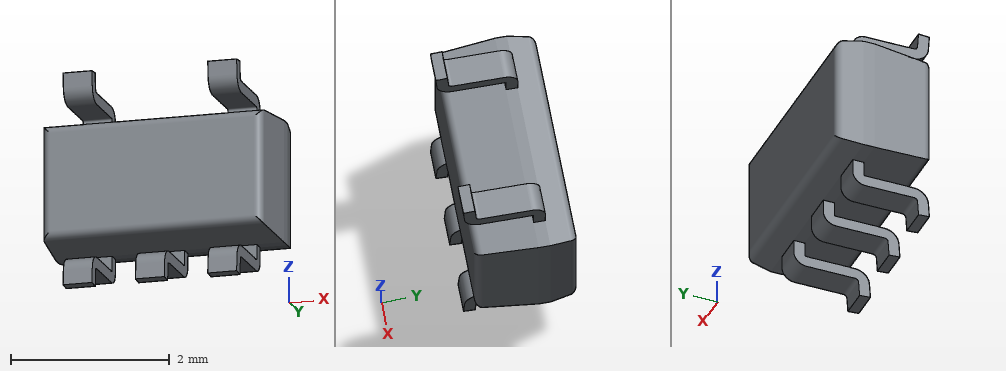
import cadquery as cq
import math

HOUSING_LENGTH = 3.0
HOUSING_WIDTH = 1.6
HOUSING_FRONT_Y = 0.1
HOUSING_BACK_Y = 1.4
FRONT_INSET = 0.06
BACK_INSET = 0.05
HOUSING_FILLET = 0.102

LEAD_THICKNESS = 0.15
LEAD_WIDTH = 0.38
LEAD_PITCH = 0.95
LEAD_SPAN = 2.8
LEAD_FRONT_Y = 0.9
LEAD_RUN_Z = 1.077
SHOULDER_INNER_RADIUS = 0.025
FOOT_INNER_RADIUS = 0.05
FOOT_TILT = math.radians(4)

BAND_FRONT_Y = LEAD_FRONT_Y
BAND_BACK_Y = BAND_FRONT_Y + LEAD_THICKNESS


def drafted_block(start_y, end_y, inset):
    """Block from the full band outline at start_y to the inset outline at end_y, its end edges rounded."""
    depth = start_y - end_y
    draft_angle = math.degrees(math.atan2(inset, abs(depth)))
    end_face = "<Y" if end_y < start_y else ">Y"
    return (
        cq.Workplane("XZ", origin=(0, start_y, 0))
        .rect(HOUSING_LENGTH, HOUSING_WIDTH)
        .extrude(depth, taper=draft_angle)
        .faces(end_face)
        .edges()
        .fillet(HOUSING_FILLET)
    )


def make_housing():
    """Moulded housing: a straight band with a drafted, rounded block on each side."""
    band = (
        cq.Workplane("XZ", origin=(0, BAND_BACK_Y, 0))
        .rect(HOUSING_LENGTH, HOUSING_WIDTH)
        .extrude(LEAD_THICKNESS)
    )
    front = drafted_block(BAND_FRONT_Y, HOUSING_FRONT_Y, FRONT_INSET)
    back = drafted_block(BAND_BACK_Y, HOUSING_BACK_Y, BACK_INSET)
    return band.union(front).union(back)


def arc_point(centre, radius, angle):
    """Point on a circle in the YZ plane, with the angle measured from +Y towards +Z."""
    return (centre[0] + radius * math.cos(angle), centre[1] + radius * math.sin(angle))


def make_lead():
    """Gull-wing lead at X = 0 on the +Z side, swept along its middle line in the YZ plane."""
    half_thickness = LEAD_THICKNESS / 2
    leg_y = LEAD_FRONT_Y + half_thickness
    leg_start = (leg_y, HOUSING_WIDTH / 2)

    shoulder_radius = SHOULDER_INNER_RADIUS + half_thickness
    shoulder_centre = (leg_y - shoulder_radius, LEAD_RUN_Z - shoulder_radius)
    shoulder_start = arc_point(shoulder_centre, shoulder_radius, 0)
    shoulder_mid = arc_point(shoulder_centre, shoulder_radius, math.pi / 4)
    shoulder_end = arc_point(shoulder_centre, shoulder_radius, math.pi / 2)

    tip = (
        half_thickness * math.cos(FOOT_TILT),
        LEAD_SPAN / 2 - half_thickness * math.sin(FOOT_TILT),
    )
    foot_radius = FOOT_INNER_RADIUS + half_thickness
    foot_centre_z = LEAD_RUN_Z + foot_radius
    foot_end_z = foot_centre_z - foot_radius * math.sin(FOOT_TILT)
    foot_end_y = tip[0] + (tip[1] - foot_end_z) * math.tan(FOOT_TILT)
    foot_centre = (foot_end_y + foot_radius * math.cos(FOOT_TILT), foot_centre_z)
    foot_start_angle = 1.5 * math.pi
    foot_end_angle = math.pi + FOOT_TILT
    foot_start = arc_point(foot_centre, foot_radius, foot_start_angle)
    foot_mid = arc_point(foot_centre, foot_radius, (foot_start_angle + foot_end_angle) / 2)
    foot_end = arc_point(foot_centre, foot_radius, foot_end_angle)

    path = (
        cq.Workplane("YZ")
        .moveTo(*leg_start)
        .lineTo(*shoulder_start)
        .threePointArc(shoulder_mid, shoulder_end)
        .lineTo(*foot_start)
        .threePointArc(foot_mid, foot_end)
        .lineTo(*tip)
    )
    return (
        cq.Workplane("XY", origin=(0, *leg_start))
        .rect(LEAD_WIDTH, LEAD_THICKNESS)
        .sweep(path)
    )


housing = make_housing()

upper_lead = make_lead()
lower_lead = upper_lead.mirror("XY")
leads = []
for lead, pitch_steps in ((upper_lead, (-1, 1)), (lower_lead, (-1, 0, 1))):
    for step in pitch_steps:
        leads.append(lead.translate((step * LEAD_PITCH, 0, 0)).val())

result = cq.Compound.makeCompound([housing.val(), *leads])